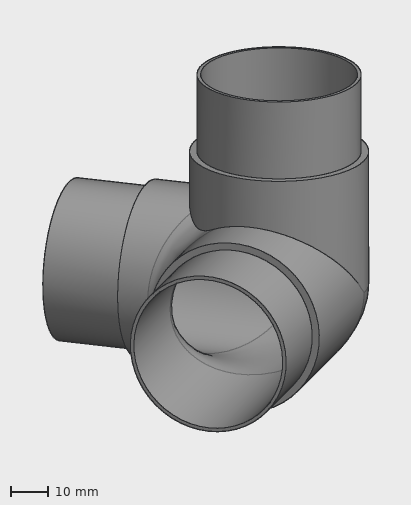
import cadquery as cq
import math

overall = 84.0
collar_radius = 24.2
spigot_radius = 22.2
bore_radius = 21.2
spigot_length = 22.0
crotch_radius = 5.0
bend_sections = 9

arm_length = overall - collar_radius
collar_length = arm_length - spigot_length
crotch_offset = collar_radius + crotch_radius
arm_directions = [(-1, 0, 0), (0, -1, 0), (0, 0, 1)]


def rod(radius, length, direction):
    """Cylinder from the origin along one arm."""
    return cq.Workplane(cq.Solid.makeCylinder(radius, length, cq.Vector(0, 0, 0), cq.Vector(*direction)))


def bend_section(radius, angle):
    """Upright ellipse spanning from the inner bend arc to the outer bend arc."""
    outward = cq.Vector(math.cos(angle), math.sin(angle), 0)
    inner = cq.Vector(-crotch_offset, -crotch_offset, 0) + outward * (crotch_offset - radius)
    outer = outward * radius
    across = outer - inner
    plane = cq.Plane((inner + outer) * 0.5, xDir=across, normal=across.cross(cq.Vector(0, 0, 1)))
    return cq.Workplane(plane).ellipse(across.Length / 2, radius).val()


def horizontal_elbow(radius, length):
    """Two straight arms joined by a bend that is tight inside and wide outside."""
    angles = [math.pi / 2 * i / (bend_sections - 1) for i in range(bend_sections)]
    wires = [bend_section(radius, angle) for angle in angles]
    bend = cq.Workplane(cq.Solid.makeLoft(wires))

    arm_outline = [(-length, -radius), (-crotch_offset, -radius), (0, radius), (-length, radius)]
    for direction in arm_directions[:2]:
        if direction[0]:
            outline = arm_outline
        else:
            outline = [(y, x) for x, y in arm_outline]
        trim = cq.Workplane("XY").polyline(outline).close().extrude(radius, both=True)
        bend = bend.union(rod(radius, length, direction).intersect(trim))
    return bend


def connector_shape(radius, length):
    """Horizontal elbow with the upright arm standing on its corner."""
    return horizontal_elbow(radius, length).union(rod(radius, length, arm_directions[2]))


def spigot(direction):
    """Push-in end beyond the collar of one arm."""
    tube = rod(spigot_radius, arm_length, direction)
    return tube.cut(rod(spigot_radius, collar_length, direction))


body = connector_shape(collar_radius, collar_length)
for arm in arm_directions:
    body = body.union(spigot(arm))

result = body.cut(connector_shape(bore_radius, arm_length))